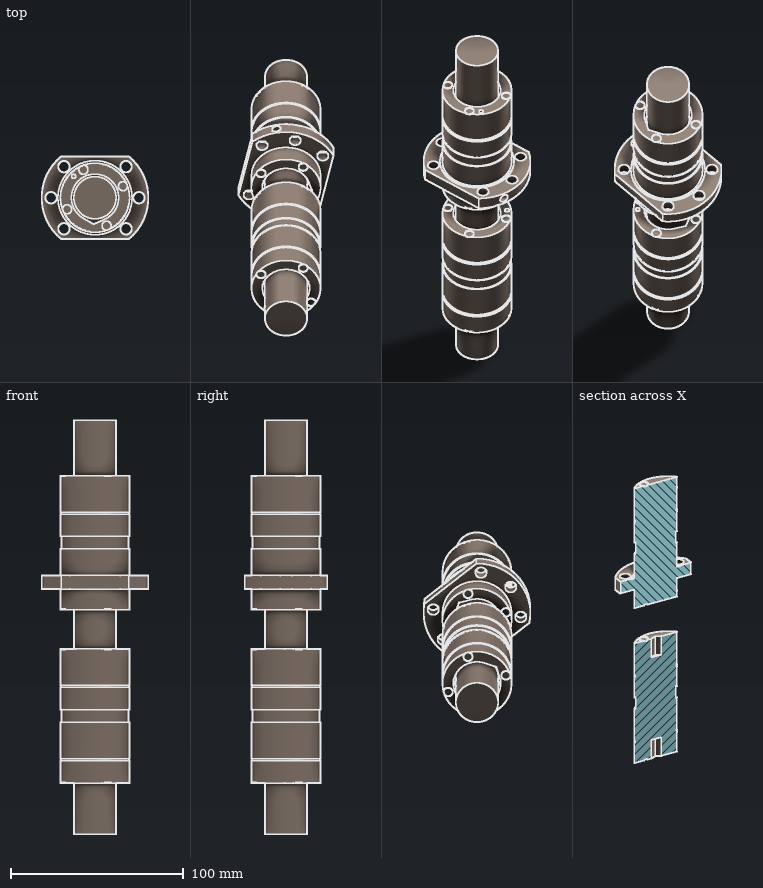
import cadquery as cq
import math

shaft_diameter = 24.5
shaft_length = 240.0

nut_diameter = 40.0
neck_diameter = 39.0
stage_length = 35.3
neck_length = 7.2
nut_length = 2 * stage_length + neck_length
cap_length = 12.0

seam_offset = 21.0
seam_width = 1.2
seam_depth = 0.5

shaft_above_nuts = 32.2
nut_gap = 22.5
flange_nut_top = shaft_length - shaft_above_nuts
plain_nut_top = flange_nut_top - nut_length - nut_gap
plain_nut_turn = 90.0

clearance_radius = 13.7
lobe_tip_radius = 15.4
lobe_angle = 267.0
clearance_depth = cap_length

seat_count = 4
seat_circle_radius = 17.5
seat_diameter = 5.3
seat_depth = 0.5
seat_start_angle = 22.5
pin_hole_diameter = 2.5
pin_hole_depth = 2.5
pin_hole_angle = 135.0

flange_diameter = 62.0
flange_width = 48.0
flange_thickness = 8.0
flange_bottom = cap_length
flange_top = flange_bottom + flange_thickness
flange_hole_circle_radius = 25.5
flange_hole_diameter = 6.5
flange_hole_angles = (0, 45, 135, 180, 225, 315)
relief_diameter = 43.0
relief_depth = 0.5
oil_hole_diameter = 5.0
oil_hole_angle = 157.5


def polar(radius, angle):
    """Point at a radius and an angle in degrees around the shaft axis."""
    return (radius * math.cos(math.radians(angle)), radius * math.sin(math.radians(angle)))


def disc(diameter, bottom, height):
    return cq.Workplane("XY").workplane(offset=bottom).circle(diameter / 2).extrude(height)


def seam_cutter(stage_top):
    """Ring that cuts the narrow groove of a stage whose upper end is at stage_top."""
    outer = nut_diameter / 2
    upper = stage_top - seam_offset
    profile = [(outer - seam_depth, upper), (outer, upper), (outer, upper - seam_width)]
    return cq.Workplane("XZ").polyline(profile).close().revolve(360, (0, 0, 0), (0, 1, 0))


def clearance_cutter(bottom):
    """Round clearance whose lobe has flanks tangent to the circle."""
    flank_angle = math.degrees(math.acos(clearance_radius / lobe_tip_radius))
    plane = cq.Workplane("XY").workplane(offset=bottom)
    return (
        plane.moveTo(*polar(lobe_tip_radius, lobe_angle))
        .lineTo(*polar(clearance_radius, lobe_angle + flank_angle))
        .threePointArc(
            polar(clearance_radius, lobe_angle + 180),
            polar(clearance_radius, lobe_angle - flank_angle),
        )
        .close()
        .extrude(clearance_depth)
    )


def seat_cutter(bottom):
    step = 360 / seat_count
    points = [polar(seat_circle_radius, seat_start_angle + i * step) for i in range(seat_count)]
    plane = cq.Workplane("XY").workplane(offset=bottom)
    return plane.pushPoints(points).circle(seat_diameter / 2).extrude(seat_depth)


def pin_hole_cutter():
    plane = cq.Workplane("XY").workplane(offset=nut_length - pin_hole_depth)
    center = polar(seat_circle_radius, pin_hole_angle)
    return plane.center(*center).circle(pin_hole_diameter / 2).extrude(pin_hole_depth)


def make_nut_barrel():
    """Outer shape of a nut, standing on the XY plane."""
    barrel = disc(nut_diameter, 0, stage_length)
    barrel = barrel.union(disc(neck_diameter, stage_length, neck_length))
    barrel = barrel.union(disc(nut_diameter, stage_length + neck_length, stage_length))
    for stage_top in (stage_length, nut_length):
        barrel = barrel.cut(seam_cutter(stage_top))
    return barrel


def cut_bore_and_ends(nut):
    nut = nut.cut(disc(shaft_diameter, 0, nut_length))
    for bottom in (0, nut_length - clearance_depth):
        nut = nut.cut(clearance_cutter(bottom))
    for bottom in (0, nut_length - seat_depth):
        nut = nut.cut(seat_cutter(bottom))
    return nut.cut(pin_hole_cutter())


def add_flange(barrel):
    """Round flange with two flats, mounting holes, a face relief and a radial oil hole."""
    flange = disc(flange_diameter, flange_bottom, flange_thickness)
    flats = cq.Workplane("XY").box(flange_diameter, flange_width, 2 * flange_top)
    hole_points = [polar(flange_hole_circle_radius, angle) for angle in flange_hole_angles]
    holes = (
        cq.Workplane("XY").workplane(offset=flange_bottom)
        .pushPoints(hole_points).circle(flange_hole_diameter / 2).extrude(flange_thickness)
    )
    relief = disc(relief_diameter, flange_top - relief_depth, relief_depth)
    oil_hole_reach = (flange_diameter - nut_diameter) / 2
    outward = cq.Vector(*polar(1, oil_hole_angle), 0)
    oil_hole = cq.Solid.makeCylinder(
        oil_hole_diameter / 2,
        oil_hole_reach,
        outward * (nut_diameter / 2) + cq.Vector(0, 0, flange_bottom + flange_thickness / 2),
        outward,
    )
    flange = flange.intersect(flats).cut(holes).cut(relief).cut(cq.Workplane(oil_hole))
    return barrel.union(flange)


def make_shaft():
    return disc(shaft_diameter, 0, shaft_length)


def make_flange_nut():
    nut = cut_bore_and_ends(add_flange(make_nut_barrel()))
    return nut.translate((0, 0, flange_nut_top - nut_length))


def make_plain_nut():
    nut = cut_bore_and_ends(make_nut_barrel())
    nut = nut.rotate((0, 0, 0), (0, 0, 1), plain_nut_turn)
    return nut.translate((0, 0, plain_nut_top - nut_length))


shaft = make_shaft()
flange_nut = make_flange_nut()
plain_nut = make_plain_nut()

result = cq.Compound.makeCompound([shaft.val(), flange_nut.val(), plain_nut.val()])